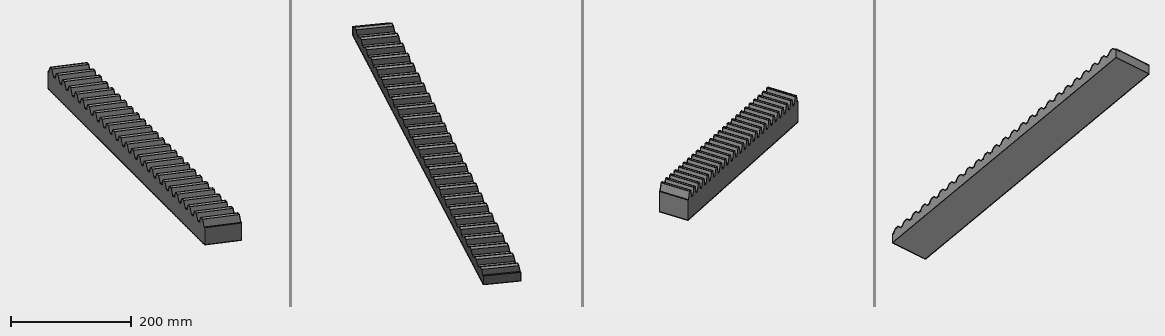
import cadquery as cq

overall_length = 520.0
width = 59.0
height = 49.0

skew = 21.0
body_length = overall_length - skew

tooth_count = 25
pitch = body_length / tooth_count

tooth_depth = 13.0
tip_width = 5.5
root_width = 4.0
flank_run = (pitch - tip_width - root_width) / 2
root_height = height - tooth_depth


def tooth_points(start):
    """Outline of one tooth between its two root flats, starting at its pitch boundary."""
    foot = start + root_width / 2
    tip = foot + flank_run
    return [
        (foot, root_height),
        (tip, height),
        (tip + tip_width, height),
        (tip + tip_width + flank_run, root_height),
    ]


def rack_outline(offset):
    """Rack section over the teeth from end to end, shifted along X by offset."""
    points = [(offset, 0), (offset, root_height)]
    for tooth in range(tooth_count):
        points += tooth_points(offset + tooth * pitch)
    end = offset + body_length
    points += [(end, root_height), (end, 0)]
    return points


front_outline = rack_outline(0)
back_outline = rack_outline(skew)
result = (
    cq.Workplane("XZ")
    .polyline(front_outline)
    .close()
    .workplane(offset=-width)
    .polyline(back_outline)
    .close()
    .loft(ruled=True)
)